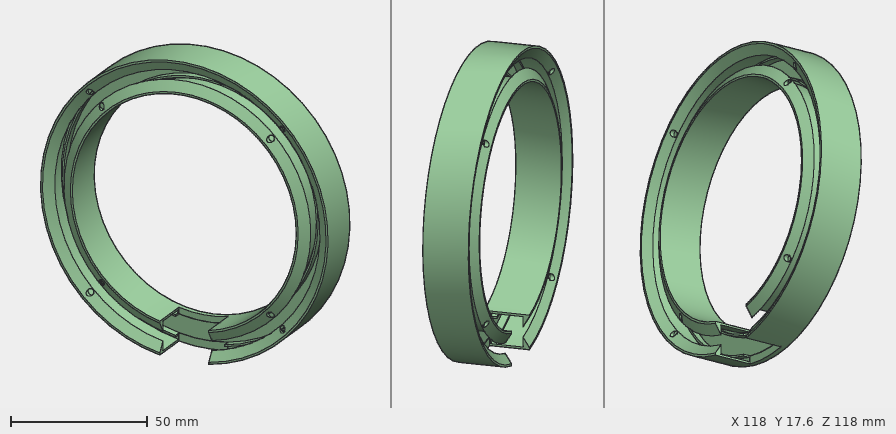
import cadquery as cq

outer_radius = 59.0
inner_radius = 45.9
depth = 17.6
wall = 0.8

lip_depth = 2.5
inner_lip_radius = 50.6
outer_lip_radius = 54.4

floor_thickness = 2.0
groove_floor = 2.6
rib_height = 5.1
rib_thickness = 0.7
inner_rib_radius = 48.5
outer_rib_radius = 55.8

gap_width = 20.1
gap_floor = 2.2

hole_diameter = 2.5
inner_hole_radius = 49.0
outer_hole_radius = 55.8
holes_per_lip = 4
first_hole_angle = 45.0

front = -depth / 2
back = depth / 2


def channel_ring():
    """Revolve the lipped channel section about the Y axis."""
    lip_back = front + lip_depth
    rib_front = back - rib_height
    groove_bottom = back - groove_floor
    floor_front = back - floor_thickness
    inner_wall_face = inner_radius + wall
    outer_wall_face = outer_radius - wall
    section = [
        (back, inner_radius),
        (front, inner_radius),
        (front, inner_wall_face),
        (lip_back, inner_lip_radius),
        (lip_back, inner_wall_face),
        (groove_bottom, inner_wall_face),
        (groove_bottom, inner_rib_radius - rib_thickness),
        (rib_front, inner_rib_radius - rib_thickness),
        (rib_front, inner_rib_radius),
        (floor_front, inner_rib_radius),
        (floor_front, outer_rib_radius),
        (rib_front, outer_rib_radius),
        (rib_front, outer_rib_radius + rib_thickness),
        (groove_bottom, outer_rib_radius + rib_thickness),
        (groove_bottom, outer_wall_face),
        (lip_back, outer_wall_face),
        (lip_back, outer_lip_radius),
        (front, outer_wall_face),
        (front, outer_radius),
        (back, outer_radius),
    ]
    return cq.Workplane("YZ").polyline(section).close().revolve(360, (0, 0), (1, 0))


def gap_cutter():
    """Block that opens the ring at the bottom, leaving the back of the ring whole."""
    return cq.Workplane("XY").box(
        gap_width, depth - gap_floor, outer_radius, centered=(True, False, False)
    ).translate((0, front, -outer_radius))


def lip_holes(circle_radius):
    """Cylinders along Y, equally spaced on a circle, that pass through one lip."""
    return (
        cq.Workplane("XZ", origin=(0, front, 0))
        .polarArray(circle_radius, first_hole_angle, 360, holes_per_lip)
        .circle(hole_diameter / 2)
        .extrude(-lip_depth)
    )


result = channel_ring().cut(gap_cutter())
for circle_radius in (inner_hole_radius, outer_hole_radius):
    result = result.cut(lip_holes(circle_radius))